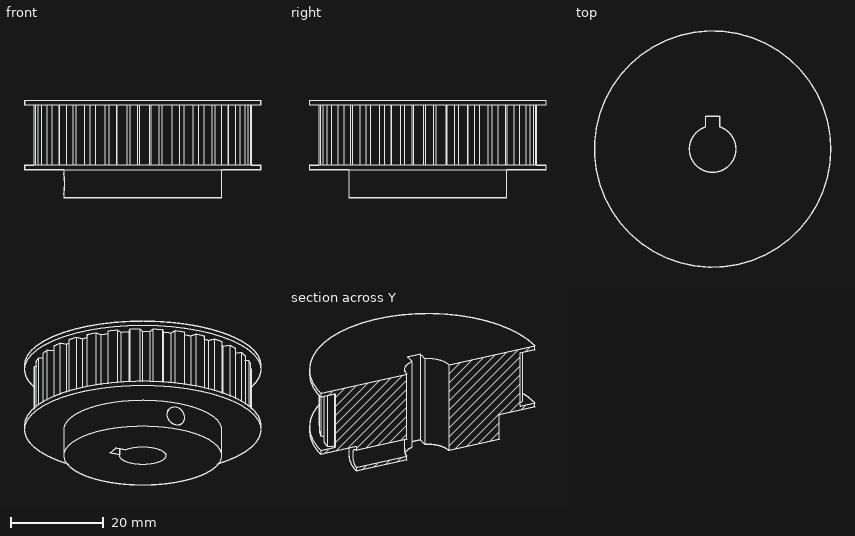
import cadquery as cq
import math

total_height = 21.0
hub_height = 6.0
flange_thickness = 1.0
belt_width = total_height - hub_height - 2 * flange_thickness

flange_diameter = 51.0
tooth_tip_diameter = 46.9
hub_diameter = 34.0
bore_diameter = 10.0
set_screw_diameter = 4.15

tooth_count = 30
groove_depth = 1.5
groove_floor_width = 1.7
groove_mouth_width = 2.75
first_groove_angle = 1.0

keyway_width = 3.0
keyway_reach = 7.05

lower_flange_base = hub_height
belt_base = lower_flange_base + flange_thickness
upper_flange_base = belt_base + belt_width


def disc(diameter, base, height):
    """Solid disc on the Z axis, starting at height base."""
    return cq.Workplane("XY").workplane(offset=base).circle(diameter / 2).extrude(height)


def point_on_circle(radius, angle):
    """Point at a radius and an angle in radians from +X."""
    return (radius * math.cos(angle), radius * math.sin(angle))


def toothed_rim():
    """Toothed section between the flanges, drawn as one closed outline."""
    tip_radius = tooth_tip_diameter / 2
    root_radius = tip_radius - groove_depth
    pitch = 2 * math.pi / tooth_count
    half_mouth = math.asin(groove_mouth_width / 2 / tip_radius)
    half_floor = math.asin(groove_floor_width / 2 / root_radius)
    start = math.radians(first_groove_angle)

    outline = cq.Workplane("XY").workplane(offset=belt_base)
    outline = outline.moveTo(*point_on_circle(tip_radius, start - half_mouth))
    for index in range(tooth_count):
        groove = start + index * pitch
        outline = (
            outline.lineTo(*point_on_circle(root_radius, groove - half_floor))
            .threePointArc(
                point_on_circle(root_radius, groove),
                point_on_circle(root_radius, groove + half_floor),
            )
            .lineTo(*point_on_circle(tip_radius, groove + half_mouth))
            .threePointArc(
                point_on_circle(tip_radius, groove + pitch / 2),
                point_on_circle(tip_radius, groove + pitch - half_mouth),
            )
        )
    return outline.close().extrude(belt_width)


def keyed_bore():
    """Through bore joined with its keyway."""
    keyway = (
        cq.Workplane("XY")
        .center(0, keyway_reach / 2)
        .rect(keyway_width, keyway_reach)
        .extrude(total_height)
    )
    return disc(bore_diameter, 0, total_height).union(keyway)


def set_screw_hole():
    """Radial hole from the -X side of the hub into the bore, at mid-height of the hub."""
    return (
        cq.Workplane("YZ")
        .center(0, hub_height / 2)
        .circle(set_screw_diameter / 2)
        .extrude(-hub_diameter / 2)
    )


hub = disc(hub_diameter, 0, hub_height)
lower_flange = disc(flange_diameter, lower_flange_base, flange_thickness)
upper_flange = disc(flange_diameter, upper_flange_base, flange_thickness)

pulley = hub.union(lower_flange).union(toothed_rim()).union(upper_flange)
result = pulley.cut(keyed_bore()).cut(set_screw_hole())